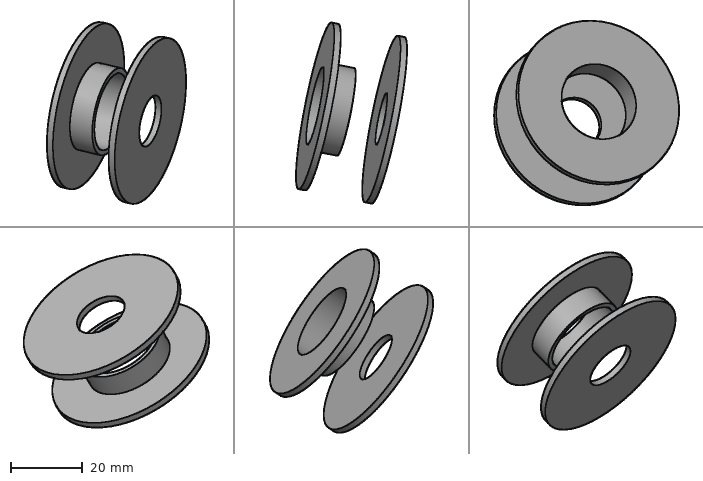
import cadquery as cq

flange_diameter = 47.3
flange_thickness = 1.9
overall_length = 20.8
hub_diameter = 24.95
hub_end = 8.75
hub_bore = 21.95
washer_bore = 14.55

left_face = -overall_length / 2
washer_face = overall_length / 2 - flange_thickness


def cylinder(diameter, start_x, length):
    """Solid cylinder along +X, starting at start_x."""
    return cq.Workplane("YZ").workplane(offset=start_x).circle(diameter / 2).extrude(length)


def make_flanged_hub():
    """Flange with a short hub on its inner face and a bore through both."""
    flange = cylinder(flange_diameter, left_face, flange_thickness)
    hub = cylinder(hub_diameter, left_face, hub_end)
    bore = cylinder(hub_bore, left_face, hub_end)
    return flange.union(hub).cut(bore)


def make_washer():
    """Flat disc facing the hub, with a smaller central hole."""
    disc = cylinder(flange_diameter, washer_face, flange_thickness)
    return disc.cut(cylinder(washer_bore, washer_face, flange_thickness))


flanged_hub = make_flanged_hub()
washer = make_washer()

result = cq.Compound.makeCompound([flanged_hub.val(), washer.val()])